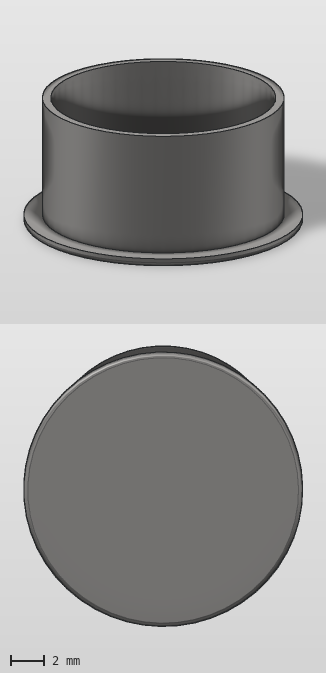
import cadquery as cq

flange_diameter = 16.5
flange_thickness = 0.5
flange_edge_radius = 0.25
cup_outer_diameter = 14.3
cup_inner_diameter = 13.3
total_height = 7.77
wall_height = total_height - flange_thickness

flange = (
    cq.Workplane("XY")
    .circle(flange_diameter / 2)
    .extrude(flange_thickness)
    .faces("<Z")
    .edges()
    .fillet(flange_edge_radius)
)

wall = (
    cq.Workplane("XY")
    .workplane(offset=flange_thickness)
    .circle(cup_outer_diameter / 2)
    .circle(cup_inner_diameter / 2)
    .extrude(wall_height)
)

result = flange.union(wall)